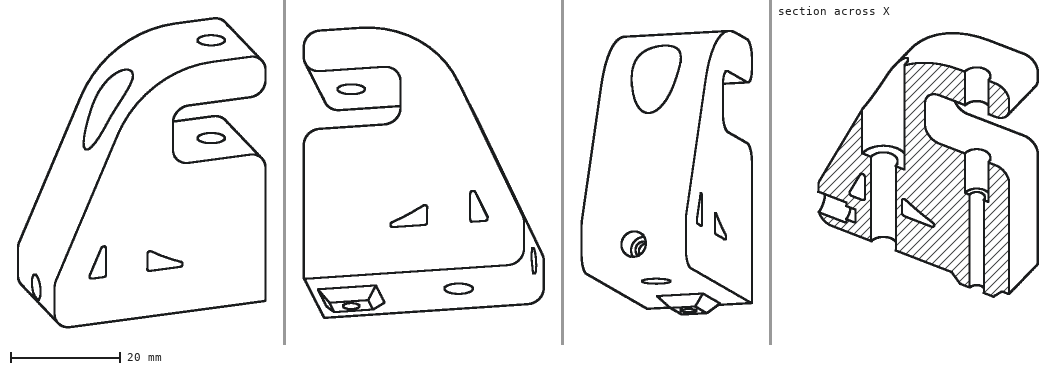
import cadquery as cq

thickness = 20.0
depth = 41.0
body_height = 48.6

arm_height = 8.0
slot_height = 11.3
slot_depth = 18.0
slope_bottom_z = 9.0
slope_top_y = 17.5
crown_radius = 20.0
edge_radius = 3.0
heel_radius = 0.3
slot_ceiling_z = body_height - arm_height
slot_floor_z = slot_ceiling_z - slot_height
slot_end_y = depth - slot_depth
body_slope = (body_height - slope_bottom_z) / slope_top_y

bolt_y = 14.0
bolt_hole_diameter = 5.2
bolt_head_diameter = 9.0
bolt_seat_z = 20.0

screw_y = 34.0
screw_hole_diameter = 3.0
screw_head_diameter = 5.0
screw_seat_z = 20.0

front_hole_z = 4.5
front_bore_diameter = 4.7
front_bore_depth = 6.0
front_pilot_diameter = 3.0
front_pilot_depth = 8.0

bolt_column_width = 8.0
window_floor_z = 9.0
window_corner_radius = 0.5
front_window_length = 3.5
front_window_height = front_window_length * body_slope
rear_window_length = 9.3
rear_window_height = 4.3
rear_window_sag = 0.35

key_height = 2.0
key_root_width = 8.8
key_root_length = 10.8
key_tip_width = 4.8
key_tip_length = 7.2


def extrude_across(sketch):
    """Extrude a YZ outline across the full thickness, centred on X = 0."""
    return sketch.extrude(thickness / 2, both=True)


def round_edge_at(solid, y, z, radius):
    """Round the crosswise edge that passes through (y, z)."""
    return solid.edges(cq.selectors.NearestToPointSelector((0, y, z))).fillet(radius)


def make_body():
    corners = [
        (0, 0, edge_radius),
        (0, slope_bottom_z, edge_radius),
        (slope_top_y, body_height, crown_radius),
        (depth, body_height, edge_radius),
        (depth, slot_ceiling_z, edge_radius),
        (slot_end_y, slot_ceiling_z, edge_radius),
        (slot_end_y, slot_floor_z, edge_radius),
        (depth, slot_floor_z, edge_radius),
        (depth, 0, heel_radius),
    ]
    outline = [(y, z) for y, z, _ in corners]
    body = extrude_across(cq.Workplane("YZ").polyline(outline).close())
    for y, z, radius in corners:
        body = round_edge_at(body, y, z, radius)
    return body


def make_key():
    return (
        cq.Workplane("XY")
        .center(0, screw_y)
        .rect(key_root_width, key_root_length)
        .workplane(offset=-key_height)
        .rect(key_tip_width, key_tip_length)
        .loft(ruled=True)
    )


def vertical_stepped_hole(y, hole_diameter, head_diameter, seat_z):
    """Through hole with a wider bore from the seat up through the top."""
    hole = (
        cq.Workplane("XY", origin=(0, y, -key_height))
        .circle(hole_diameter / 2)
        .extrude(body_height + key_height)
    )
    head_bore = (
        cq.Workplane("XY", origin=(0, y, seat_z))
        .circle(head_diameter / 2)
        .extrude(body_height - seat_z)
    )
    return hole.union(head_bore)


def make_front_hole():
    plane = cq.Workplane("XZ", origin=(0, 0, front_hole_z))
    bore = plane.circle(front_bore_diameter / 2).extrude(-front_bore_depth)
    pilot = plane.circle(front_pilot_diameter / 2).extrude(-front_pilot_depth)
    return bore.union(pilot)


def make_front_window():
    near_column_y = bolt_y - bolt_column_width / 2
    window = extrude_across(
        cq.Workplane("YZ")
        .moveTo(near_column_y, window_floor_z)
        .lineTo(near_column_y - front_window_length, window_floor_z)
        .lineTo(near_column_y, window_floor_z + front_window_height)
        .close()
    )
    return window.edges("|X").fillet(window_corner_radius)


def make_rear_window():
    near_column_y = bolt_y + bolt_column_width / 2
    tip_y = near_column_y + rear_window_length
    peak_z = window_floor_z + rear_window_height
    window = extrude_across(
        cq.Workplane("YZ")
        .moveTo(near_column_y, peak_z)
        .lineTo(near_column_y, window_floor_z)
        .lineTo(tip_y, window_floor_z)
        .sagittaArc((near_column_y, peak_z), rear_window_sag)
        .close()
    )
    return window.edges("|X").fillet(window_corner_radius)


result = (
    make_body()
    .union(make_key())
    .cut(vertical_stepped_hole(bolt_y, bolt_hole_diameter, bolt_head_diameter, bolt_seat_z))
    .cut(vertical_stepped_hole(screw_y, screw_hole_diameter, screw_head_diameter, screw_seat_z))
    .cut(make_front_hole())
    .cut(make_front_window())
    .cut(make_rear_window())
)